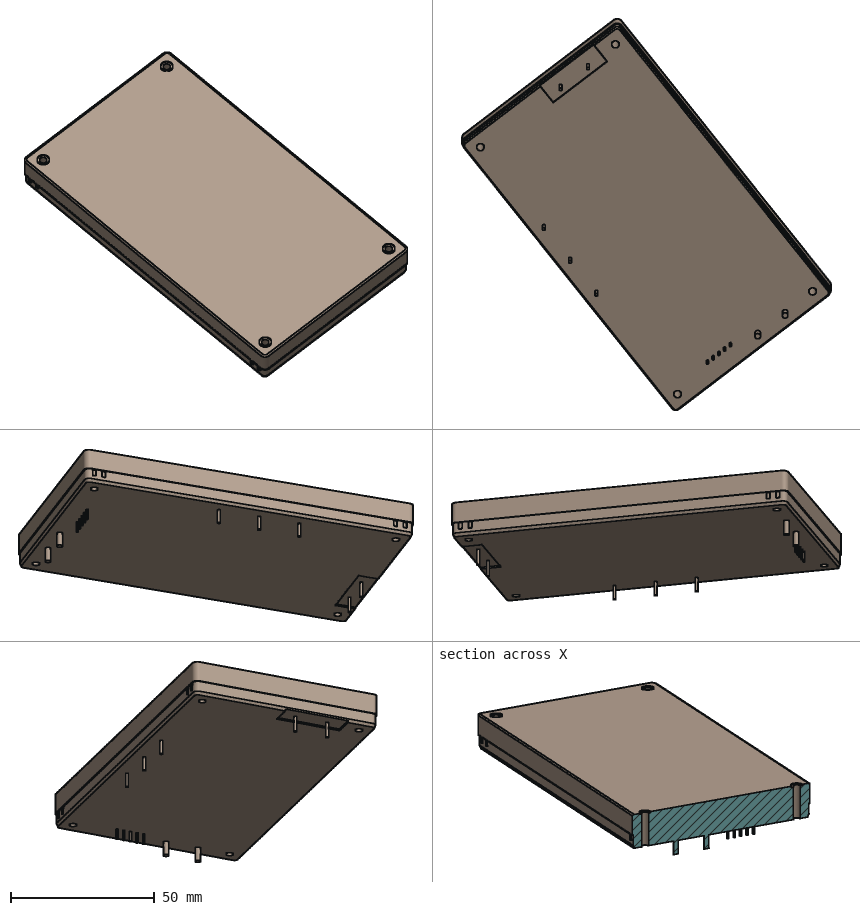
import cadquery as cq

LENGTH = 122.0
WIDTH = 70.0
TOTAL_HEIGHT = 17.7
PIN_LENGTH = 5.0
TOP = TOTAL_HEIGHT - PIN_LENGTH

COVER_HEIGHT = 7.7
CORNER_RADIUS = 2.0
TOP_BEVEL_WIDTH = 0.7
TOP_BEVEL_HEIGHT = 0.4
BASE_INSET = 0.4
BASE_RADIUS = 1.7
BASE_BEVEL_WIDTH = 0.5
BASE_BEVEL_HEIGHT = 1.2
BASE_TOP = TOP - COVER_HEIGHT

HOLE_PITCH_X = 111.8
HOLE_PITCH_Y = 59.7
HOLE_DIAMETER = 2.6
HOLE_RIM_DIAMETER = 4.3
HOLE_RIM_DEPTH = 0.4

NOTCH_WIDTH = 1.3
NOTCH_HEIGHT = 2.5
NOTCH_DEPTH = 0.6
NOTCH_BOTTOM_RADIUS = 0.5
NOTCH_CENTERS_X = (54.0, 57.6)

RECESS_WIDTH = 23.8
RECESS_CENTER_Y = -11.8
RECESS_DEPTH = 0.6
RECESS_PAST_PINS = 3.0

SMALL_PIN_DIAMETER = 1.0
OUTPUT_PIN_DIAMETER = 2.0
SIGNAL_PIN_SIDE = 0.6
SIGNAL_TIP_BEVEL = 0.18
SIGNAL_PIN_LENGTH = 3.8
SIGNAL_PITCH_Y = 2.54
INPUT_X = -55.9
OUTPUT_X = -INPUT_X
POWER_PIN_Y = (-5.6, -17.7)
SIGNAL_X = 53.0
SIGNAL_MIDDLE_Y = 9.3
SIGNAL_COUNT = 5
SIDE_ROW_Y = 29.6
SIDE_ROW_PITCH = 14.9
SIDE_ROW_MIDDLE_X = -5.2
SIDE_ROW_X = [SIDE_ROW_MIDDLE_X + step * SIDE_ROW_PITCH for step in (-1, 0, 1)]


def rounded_block(length, width, radius, bottom, height):
    """Box centred on the Z axis with rounded vertical edges."""
    block = cq.Workplane("XY").workplane(offset=bottom).rect(length, width).extrude(height)
    return block.edges("|Z").fillet(radius)


def make_case():
    """Cover with a bevelled top rim on a slightly smaller base with a bevelled bottom rim."""
    cover = rounded_block(LENGTH, WIDTH, CORNER_RADIUS, BASE_TOP, COVER_HEIGHT)
    cover = cover.faces(">Z").chamfer(TOP_BEVEL_HEIGHT, TOP_BEVEL_WIDTH)
    base = rounded_block(LENGTH - 2 * BASE_INSET, WIDTH - 2 * BASE_INSET, BASE_RADIUS, 0, BASE_TOP)
    base = base.faces("<Z").chamfer(BASE_BEVEL_HEIGHT, BASE_BEVEL_WIDTH)
    return cover.union(base)


def cut_mounting_holes(case):
    return (
        case.faces(">Z").workplane(origin=(0, 0, TOP))
        .rect(HOLE_PITCH_X, HOLE_PITCH_Y, forConstruction=True).vertices()
        .cboreHole(HOLE_DIAMETER, HOLE_RIM_DIAMETER, HOLE_RIM_DEPTH)
    )


def cut_notches(case):
    for side in (-1, 1):
        for end in (-1, 1):
            for x in NOTCH_CENTERS_X:
                notch = cq.Workplane("XY").box(NOTCH_WIDTH, 2 * NOTCH_DEPTH, NOTCH_HEIGHT)
                notch = notch.edges("|Y and <Z").fillet(NOTCH_BOTTOM_RADIUS)
                y = side * (WIDTH / 2 - BASE_INSET)
                case = case.cut(notch.translate((end * x, y, BASE_TOP - NOTCH_HEIGHT / 2)))
    return case


def cut_input_recess(case):
    """Shallow recess under the case around the input pins, open at the -X end."""
    length = INPUT_X + RECESS_PAST_PINS + LENGTH / 2
    recess = cq.Workplane("XY").box(length, RECESS_WIDTH, RECESS_DEPTH, centered=(False, True, False))
    return case.cut(recess.translate((-LENGTH / 2, RECESS_CENTER_Y, 0)))


def round_pins(points, diameter, length):
    """Pins hanging below the case, with their roots let into it by the recess depth."""
    pins = cq.Workplane("XY").workplane(offset=-length).pushPoints(points)
    return pins.circle(diameter / 2).extrude(length + RECESS_DEPTH)


def signal_pins():
    """Row of short square pins with bevelled tips."""
    pins = cq.Workplane("XY").center(SIGNAL_X, SIGNAL_MIDDLE_Y).rarray(1.2, SIGNAL_PITCH_Y, 1, SIGNAL_COUNT)
    pins = pins.rect(SIGNAL_PIN_SIDE, SIGNAL_PIN_SIDE).extrude(-SIGNAL_PIN_LENGTH)
    return pins.faces("<Z").edges().chamfer(SIGNAL_TIP_BEVEL)


def make_pins():
    input_points = [(INPUT_X, y) for y in POWER_PIN_Y]
    output_points = [(OUTPUT_X, y) for y in POWER_PIN_Y]
    side_points = [(x, SIDE_ROW_Y) for x in SIDE_ROW_X]
    return [
        round_pins(input_points + side_points, SMALL_PIN_DIAMETER, PIN_LENGTH),
        round_pins(output_points, OUTPUT_PIN_DIAMETER, PIN_LENGTH),
        signal_pins(),
    ]


case = cut_input_recess(cut_notches(cut_mounting_holes(make_case())))
for pins in make_pins():
    case = case.union(pins)
result = case